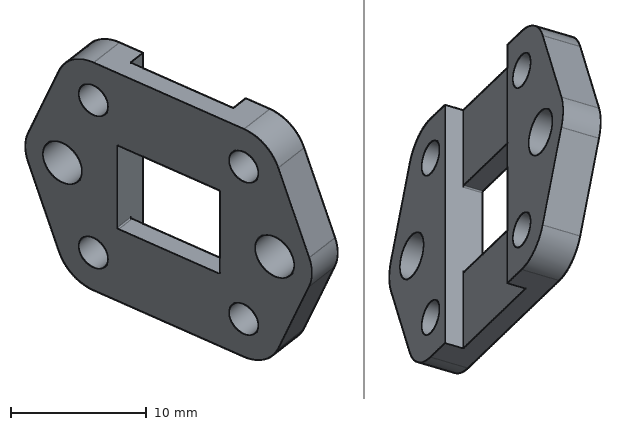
import cadquery as cq
import math

length = 26.4
height = 20.7
thickness = 3.17

corner_radius = 3.43
end_hole_x = length / 2 - corner_radius
screw_offset = height / 2 - corner_radius

screw_hole_diameter = 2.7
end_hole_diameter = 3.6

window_width = 9.45
window_height = 7.55
window_corner_radius = 0.1
channel_depth = 1.53


def make_plate():
    """Hexagonal plate with six rounded corners, its -Y face at Y = -thickness / 2."""
    slope = math.atan2(end_hole_x - screw_offset, screw_offset)
    tangent_x = corner_radius * math.cos(slope)
    tangent_z = corner_radius * math.sin(slope)
    middle = (slope + math.pi / 2) / 2
    middle_x = screw_offset + corner_radius * math.cos(middle)
    middle_z = screw_offset + corner_radius * math.sin(middle)
    corner_x = screw_offset + tangent_x
    corner_z = screw_offset + tangent_z
    end_x = end_hole_x + tangent_x
    outline = (
        cq.Workplane("XZ")
        .moveTo(-screw_offset, height / 2)
        .lineTo(screw_offset, height / 2)
        .threePointArc((middle_x, middle_z), (corner_x, corner_z))
        .lineTo(end_x, tangent_z)
        .threePointArc((length / 2, 0), (end_x, -tangent_z))
        .lineTo(corner_x, -corner_z)
        .threePointArc((middle_x, -middle_z), (screw_offset, -height / 2))
        .lineTo(-screw_offset, -height / 2)
        .threePointArc((-middle_x, -middle_z), (-corner_x, -corner_z))
        .lineTo(-end_x, -tangent_z)
        .threePointArc((-length / 2, 0), (-end_x, tangent_z))
        .lineTo(-corner_x, corner_z)
        .threePointArc((-middle_x, middle_z), (-screw_offset, height / 2))
        .close()
    )
    return outline.extrude(thickness / 2, both=True)


def make_holes(points, diameter):
    """Round cutters running through the plate along Y."""
    return cq.Workplane("XZ").pushPoints(points).circle(diameter / 2).extrude(thickness, both=True)


def make_window():
    """Rectangular through-window with slightly rounded corners."""
    window = cq.Workplane("XZ").rect(window_width, window_height).extrude(thickness, both=True)
    return window.edges("|Y").fillet(window_corner_radius)


def make_channel():
    """Channel as wide as the window, running the full height of the +Y face."""
    channel = cq.Workplane("XY").box(window_width, channel_depth, height)
    return channel.translate((0, (thickness - channel_depth) / 2, 0))


screw_points = [(x, z) for x in (-screw_offset, screw_offset) for z in (-screw_offset, screw_offset)]
end_points = [(-end_hole_x, 0), (end_hole_x, 0)]

result = (
    make_plate()
    .cut(make_holes(screw_points, screw_hole_diameter))
    .cut(make_holes(end_points, end_hole_diameter))
    .cut(make_window())
    .cut(make_channel())
)